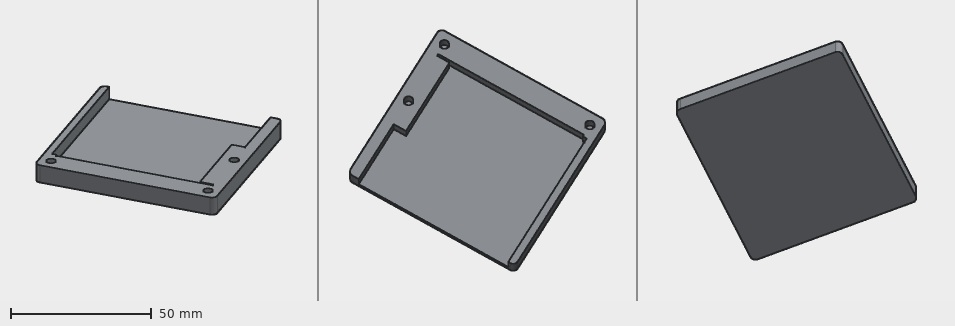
import cadquery as cq

length = 69.0
width = 64.0
height = 7.0
corner_radius = 2.0

floor_thickness = 2.0
left_wall = 2.8
right_wall = 4.5
front_wall = 9.5

ledge_wall = 9.6
ledge_back_offset = 24.3

slot_width = 0.75
slot_inset = 4.5

hole_diameter = 3.4
hole_inset = 4.5
side_hole_spacing = 24.9

recess_depth = height - floor_thickness
hole_depth = recess_depth
left = -length / 2
right = length / 2
front = -width / 2
back = width / 2


def make_block():
    block = cq.Workplane("XY").box(length, width, height, centered=(True, True, False))
    return block.edges("|Z").fillet(corner_radius)


def make_recess():
    """Recess down to the floor, stepped around the ledge and the front slot."""
    recess_front = front + front_wall
    slot_front = recess_front - slot_width
    ledge_back = back - ledge_back_offset
    outline = [
        (left + left_wall, back),
        (left + left_wall, recess_front),
        (left + slot_inset, recess_front),
        (left + slot_inset, slot_front),
        (right - slot_inset, slot_front),
        (right - slot_inset, recess_front),
        (right - ledge_wall, recess_front),
        (right - ledge_wall, ledge_back),
        (right - right_wall, ledge_back),
        (right - right_wall, back),
    ]
    sketch = cq.Workplane("XY").workplane(offset=floor_thickness)
    return sketch.polyline(outline).close().extrude(recess_depth)


def make_holes():
    """Two holes in the front corners and one on the ledge."""
    hole_front = front + hole_inset
    centres = [
        (left + hole_inset, hole_front),
        (right - hole_inset, hole_front),
        (right - hole_inset, hole_front + side_hole_spacing),
    ]
    sketch = cq.Workplane("XY").workplane(offset=height - hole_depth)
    return sketch.pushPoints(centres).circle(hole_diameter / 2).extrude(hole_depth)


result = make_block().cut(make_recess()).cut(make_holes())